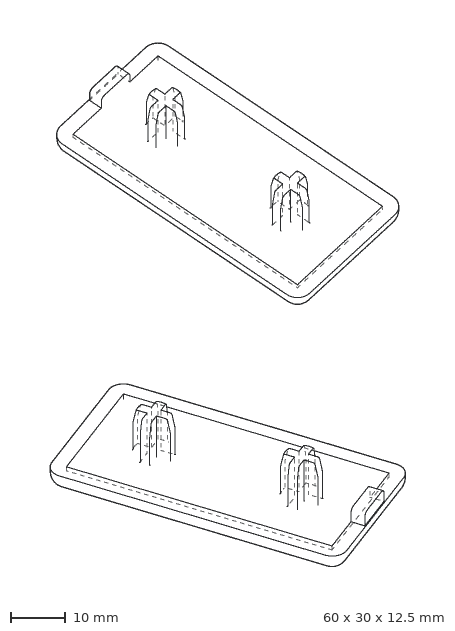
import cadquery as cq

length = 60.0
width = 30.0
overall_height = 12.5
corner_radius = 3.0
corner_clearance = 0.005
straight_band = 1.0
plate_height = corner_radius + straight_band

rim_width = 3.0
pocket_depth = 1.0
floor_fillet = 0.15
floor_height = plate_height - pocket_depth

post_spacing = 30.0
post_radius = 3.9
post_tip_radius = 3.3
taper_height = 3.0
tip_fillet = 0.5
arm_thickness = 1.9
taper_start = overall_height - taper_height

tab_width = 8.05
tab_height = 3.0
tab_setback = 0.2
tab_fillet = 1.0
tab_length = rim_width - tab_setback


def make_plate():
    """Rounded plate with a rounded lower edge and a shallow pocket."""
    plate = (
        cq.Workplane("XY")
        .rect(length, width)
        .extrude(plate_height)
        .edges("|Z")
        .fillet(corner_radius)
        .faces("<Z")
        .edges()
        .fillet(corner_radius - corner_clearance)
    )
    pocket = (
        cq.Workplane("XY", origin=(0, 0, floor_height))
        .rect(length - 2 * rim_width, width - 2 * rim_width)
        .extrude(pocket_depth)
    )
    return plate.cut(pocket)


def make_post(center_x):
    """Cross-shaped post trimmed by a round envelope with a tapered, rounded tip."""
    envelope = (
        cq.Workplane("XZ")
        .moveTo(0, floor_height)
        .lineTo(post_radius, floor_height)
        .lineTo(post_radius, taper_start)
        .lineTo(post_tip_radius, overall_height)
        .lineTo(0, overall_height)
        .close()
        .revolve(360, (0, 0), (0, 1))
        .faces(">Z")
        .edges()
        .fillet(tip_fillet)
    )
    base = cq.Workplane("XY", origin=(0, 0, floor_height))
    height = overall_height - floor_height
    cross = base.rect(2 * post_radius, arm_thickness).extrude(height)
    cross = cross.union(base.rect(arm_thickness, 2 * post_radius).extrude(height))
    return envelope.intersect(cross).translate((center_x, 0, 0))


def make_tab():
    """Upright tab on the -X rim with rounded upper edges."""
    return (
        cq.Workplane("XY", origin=(-length / 2 + tab_setback + tab_length / 2, 0, plate_height))
        .rect(tab_length, tab_width)
        .extrude(tab_height)
        .edges("|X and >Z")
        .fillet(tab_fillet)
    )


result = make_plate()
for side in (-1, 1):
    result = result.union(make_post(side * post_spacing / 2))

floor_edges = cq.selectors.BoxSelector(
    (-length / 2, -width / 2, floor_height - floor_fillet / 2),
    (length / 2, width / 2, floor_height + floor_fillet / 2),
)
result = result.edges(floor_edges).fillet(floor_fillet)
result = result.union(make_tab())